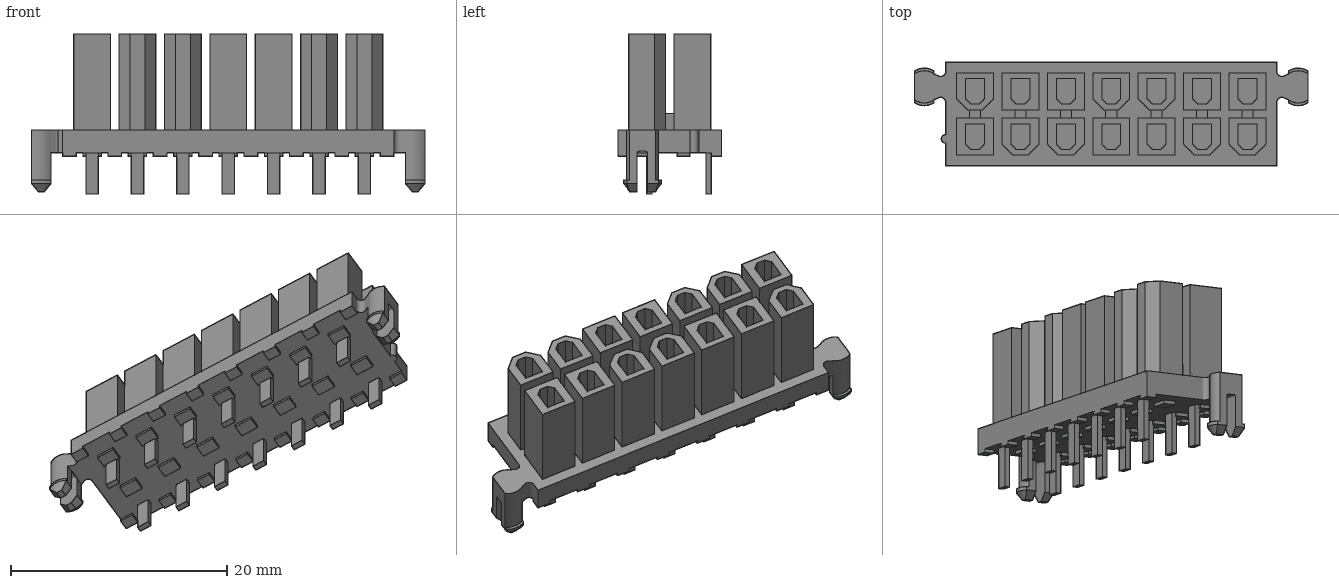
import cadquery as cq

TOWER_HEIGHT = 8.88
PLATE_TOP = 2.45
RECESS_LEVEL = 0.33
PIN_REACH = 3.5
LINK_HEIGHT = 1.53

OVERALL_LENGTH = 36.4
PLATE_LENGTH = 30.65
PLATE_WIDTH = 9.6

COLUMNS = 7
COLUMN_SPAN = 25.2
PITCH = COLUMN_SPAN / (COLUMNS - 1)
COLUMN_X = [(i - (COLUMNS - 1) / 2) * PITCH for i in range(COLUMNS)]
BACK_ROW_Y = PITCH / 2
FRONT_ROW_Y = -PITCH / 2

TOWER_SIDE = 3.42
KEY_CHAMFER = 1.02
KEYED_COLUMNS = {BACK_ROW_Y: (0, 3, 4), FRONT_ROW_Y: (1, 2, 5, 6)}
SOCKET_WIDTH = 1.75
SOCKET_LENGTH = 2.33
SOCKET_CORNER = 0.47
SOCKET_DEPTH = TOWER_HEIGHT
LINK_WIDTH = 1.02

FOOT_DEPTH = 1.0
FOOT_NOTCH = 2.9
PAD_WIDTH = 1.7
PAD_DEPTH = 1.15
FRONT_PAD_Y = -1.27
PAD_ROW_PITCH = 3.9
PIN_WIDTH = 1.15
PIN_THICKNESS = 0.5
FRONT_PIN_Y = -3.6
PIN_ROW_PITCH = 5.5

NUB_RADIUS = 0.4
NUB_Y = -2.3

PEG_Y = 2.5
PEG_LENGTH = 1.82
PEG_END_HALF = 1.2
PEG_MID_HALF = 1.5
NECK_FLARE = 0.33
NECK_FLARE_HALF = 1.05
NECK_HALF = 1.0
NECK_ROOT_HALF = 1.35
BARB_OVERHANG = 0.25
BARB_TOP = -2.2
BARB_EDGE = -2.5
PEG_TIP = -3.28
TIP_LENGTH = 0.55
TIP_WIDTH = 2.4
SLOT_Y = 2.55
SLOT_WIDTH = 0.95
SLOT_ROOF = 0.47
SLOT_CORNER = 0.22


def block(length, width, bottom, top, x=0.0, y=0.0):
    """Upright box centred on (x, y) between two heights."""
    return cq.Workplane("XY", origin=(x, y, bottom)).rect(length, width).extrude(top - bottom)


def tower(x, y, keyed):
    body = block(TOWER_SIDE, TOWER_SIDE, PLATE_TOP, PLATE_TOP + TOWER_HEIGHT, x, y)
    if keyed:
        body = body.edges("|Z and <Y").chamfer(KEY_CHAMFER)
    return body


def socket(x, y):
    top = PLATE_TOP + TOWER_HEIGHT
    cavity = block(SOCKET_WIDTH, SOCKET_LENGTH, top - SOCKET_DEPTH, top, x, y)
    return cavity.edges("|Z and <Y").chamfer(SOCKET_CORNER)


def base_plate():
    plate = block(PLATE_LENGTH, PLATE_WIDTH, RECESS_LEVEL, PLATE_TOP)
    foot_y = (PLATE_WIDTH - FOOT_DEPTH) / 2
    for y in (-foot_y, foot_y):
        strip = block(PLATE_LENGTH, FOOT_DEPTH, 0, RECESS_LEVEL, 0, y)
        for x in COLUMN_X:
            strip = strip.cut(block(FOOT_NOTCH, FOOT_DEPTH, 0, RECESS_LEVEL, x, y))
        plate = plate.union(strip)
    nub = (
        cq.Workplane("XY", origin=(-PLATE_LENGTH / 2, NUB_Y, RECESS_LEVEL))
        .circle(NUB_RADIUS)
        .extrude(PLATE_TOP - RECESS_LEVEL)
    )
    return plate.union(nub)


def peg_outline(plane, overhang=0.0):
    """Peg section: flat ends joined by bulging sides."""
    outer = -OVERALL_LENGTH / 2
    inner = outer + PEG_LENGTH
    middle = (outer + inner) / 2
    end_half = PEG_END_HALF + overhang
    mid_half = PEG_MID_HALF + overhang
    return (
        plane.moveTo(outer, PEG_Y - end_half)
        .threePointArc((middle, PEG_Y - mid_half), (inner, PEG_Y - end_half))
        .lineTo(inner, PEG_Y + end_half)
        .threePointArc((middle, PEG_Y + mid_half), (outer, PEG_Y + end_half))
        .close()
    )


def neck():
    """Web from the peg to the plate, narrowing along a flat and then hollowed on each side."""
    root = -PLATE_LENGTH / 2
    start = -OVERALL_LENGTH / 2 + PEG_LENGTH
    flare_end = start + NECK_FLARE
    waist = (flare_end + root) / 2
    return (
        cq.Workplane("XY", origin=(0, PEG_Y, RECESS_LEVEL))
        .moveTo(start, -PEG_END_HALF)
        .lineTo(flare_end, -NECK_FLARE_HALF)
        .threePointArc((waist, -NECK_HALF), (root, -NECK_ROOT_HALF))
        .lineTo(root, NECK_ROOT_HALF)
        .threePointArc((waist, NECK_HALF), (flare_end, NECK_FLARE_HALF))
        .lineTo(start, PEG_END_HALF)
        .close()
        .extrude(PLATE_TOP - RECESS_LEVEL)
    )


def snap_peg():
    """Peg at the -X end, slotted into two legs with barbed tips."""
    peg_x = (PEG_LENGTH - OVERALL_LENGTH) / 2
    shaft = peg_outline(cq.Workplane("XY", origin=(0, 0, BARB_TOP))).extrude(PLATE_TOP - BARB_TOP)
    barb_plane = cq.Workplane("XY", origin=(0, 0, BARB_EDGE))
    barb = peg_outline(barb_plane, BARB_OVERHANG).extrude(BARB_TOP - BARB_EDGE)
    tip = (
        peg_outline(barb_plane, BARB_OVERHANG)
        .workplane(offset=PEG_TIP - BARB_EDGE)
        .center(peg_x, PEG_Y)
        .rect(TIP_LENGTH, TIP_WIDTH)
        .loft(ruled=True)
    )
    slot = block(PEG_LENGTH, SLOT_WIDTH, PEG_TIP, SLOT_ROOF, peg_x, SLOT_Y)
    slot = slot.edges("|X and >Z").fillet(SLOT_CORNER)
    return shaft.union(barb).union(tip).cut(slot).union(neck())


result = base_plate()

for row_y, keyed_columns in KEYED_COLUMNS.items():
    for column, column_x in enumerate(COLUMN_X):
        result = result.union(tower(column_x, row_y, column in keyed_columns))
        result = result.cut(socket(column_x, row_y))

for column_x in COLUMN_X:
    link = block(LINK_WIDTH, PITCH - TOWER_SIDE, PLATE_TOP, PLATE_TOP + LINK_HEIGHT, column_x)
    result = result.union(link)

for column_x in COLUMN_X:
    for pad_y in (FRONT_PAD_Y, FRONT_PAD_Y + PAD_ROW_PITCH):
        result = result.union(block(PAD_WIDTH, PAD_DEPTH, 0, RECESS_LEVEL, column_x, pad_y))
    for pin_y in (FRONT_PIN_Y, FRONT_PIN_Y + PIN_ROW_PITCH):
        result = result.union(block(PIN_WIDTH, PIN_THICKNESS, -PIN_REACH, RECESS_LEVEL, column_x, pin_y))

left_peg = snap_peg()
result = result.union(left_peg).union(left_peg.mirror("YZ"))